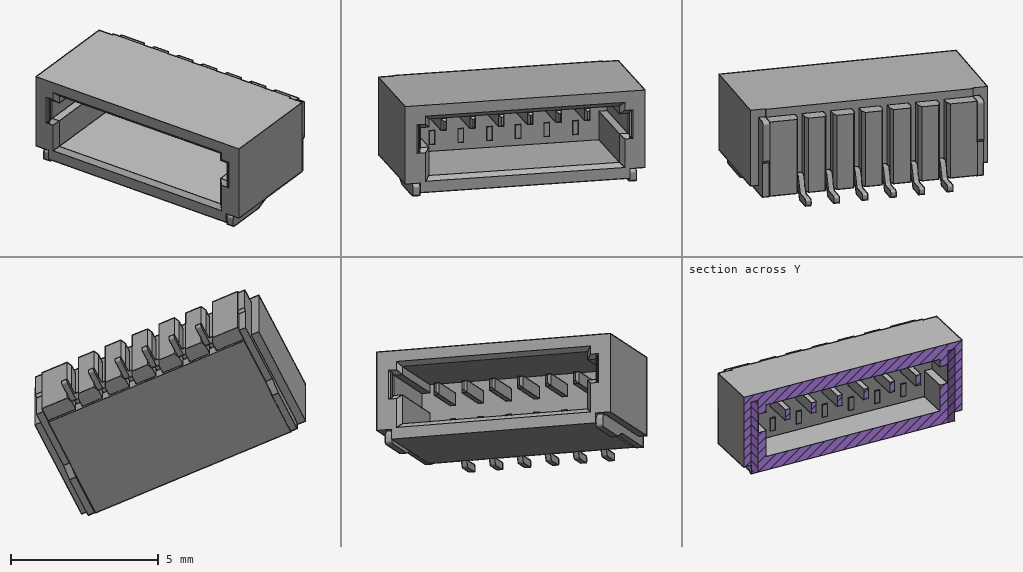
import cadquery as cq
import math


housing_length = 8.36
housing_top = 3.2
core_bottom = 0.13
side_bottom = 0.48
core_depth = 3.8
side_depth = 3.745
comb_rear = 4.305
comb_top = 2.92
comb_bottom = 0.25

mouth_half_width = 3.47
mouth_bottom = 0.53
mouth_top = 2.82
keyway_half_width = 3.76
keyway_bottom = 1.53
keyway_top = 2.53
cavity_depth = 3.01
flare = 0.15

pin_count = 6
pin_row_span = 5.0
pin_pitch = pin_row_span / (pin_count - 1)
pin_width = 0.19
foot_end = 5.0
foot_thickness = 0.25
bend_radius = 0.08
stem_lean = math.radians(25)
stem_thickness = 0.21
stem_rear_bottom = 4.355
arm_top = 0.82
arm_radius = 0.04
blade_bottom = 1.88
blade_top = 2.3
blade_tip = 1.17
tip_bevel = 0.07
tip_bevel_length = 0.15
prong_bottom = 0.93
prong_top = 1.41
prong_length = 0.05

comb_slot_width = 0.25
comb_slot_mouth_width = 0.42
comb_slot_flare_end = 4.12

tab_inner_x = 3.65
tab_thickness = 0.24
tab_front = 0.05
tab_rear = 4.3
tab_toe_chamfer = 0.15
tab_toe_radius = 0.08
tab_bottom = 0.2
tab_rear_relief = 0.09
tab_relief_bottom = 1.42
tab_relief_top = 1.52
tab_rear_radius = 0.125
tab_foot_end = 1.58
tab_foot_slope_end = 2.065

pin_positions = [(i - (pin_count - 1) / 2) * pin_pitch for i in range(pin_count)]


def block(half_width, front, rear, bottom, top):
    """Box centred on X = 0."""
    size = (2 * half_width, rear - front, top - bottom)
    return cq.Workplane("XY").box(*size, centered=(True, False, False)).translate((0, front, bottom))


def side_extrusion(profile, x_start, width):
    """Extrude a (Y, Z) workplane outline along +X."""
    return profile.extrude(width).translate((x_start, 0, 0))


def edge_box(front, rear, bottom, top):
    """Selector for edges along X that lie in the given Y and Z range."""
    margin = 0.01
    lower = (-housing_length, front - margin, bottom - margin)
    upper = (housing_length, rear + margin, top + margin)
    return cq.selectors.ParallelDirSelector(cq.Vector(1, 0, 0)) & cq.selectors.BoxSelector(lower, upper)


def opening(y, inset):
    """Cavity outline with keyways, offset inward, on a plane facing +Y."""
    x_mouth = mouth_half_width - inset
    x_key = keyway_half_width - inset
    bottom = mouth_bottom + inset
    top = mouth_top - inset
    key_bottom = keyway_bottom + inset
    key_top = keyway_top - inset
    right_side = [
        (x_mouth, bottom),
        (x_mouth, key_bottom),
        (x_key, key_bottom),
        (x_key, key_top),
        (x_mouth, key_top),
        (x_mouth, top),
    ]
    left_side = [(-x, z) for x, z in reversed(right_side)]
    return cq.Wire.makePolygon([cq.Vector(x, y, z) for x, z in right_side + left_side], close=True)


def make_cavity():
    """Keyed shaft with a 45-degree flare at the front face."""
    tapered_mouth = cq.Solid.makeLoft([opening(0, 0), opening(flare, flare)], True)
    shaft = cq.Solid.extrudeLinear(opening(0, flare), [], cq.Vector(0, cavity_depth, 0))
    return cq.Workplane(tapered_mouth).union(cq.Workplane(shaft))


def make_comb():
    """Ribs behind the housing, parted by one flared slot per contact."""
    comb = block(tab_inner_x, core_depth, comb_rear, comb_bottom, comb_top)
    half_slot = comb_slot_width / 2
    half_mouth = comb_slot_mouth_width / 2
    slot = (
        cq.Workplane("XY")
        .polyline(
            [
                (-half_slot, core_depth),
                (half_slot, core_depth),
                (half_slot, comb_slot_flare_end),
                (half_mouth, comb_rear),
                (-half_mouth, comb_rear),
                (-half_slot, comb_slot_flare_end),
            ]
        )
        .close()
        .extrude(housing_top)
    )
    for x in pin_positions:
        comb = comb.cut(slot.translate((x, 0, 0)))
    return comb


def bar(front, rear, bottom, top):
    """Straight length of contact, one pin width wide."""
    return block(pin_width / 2, front, rear, bottom, top)


def make_tail():
    """Gull-wing foot, leaning stem and the arm that carries them into the back wall."""
    slope = math.tan(stem_lean)
    rear_corner = stem_rear_bottom - (arm_top - foot_thickness) * slope
    heel = stem_rear_bottom + foot_thickness * slope - stem_thickness / math.cos(stem_lean)
    arm_bottom = arm_top - stem_thickness
    front_corner = heel - arm_bottom * slope
    profile = (
        cq.Workplane("YZ")
        .polyline(
            [
                (foot_end, 0),
                (foot_end, foot_thickness),
                (stem_rear_bottom, foot_thickness),
                (rear_corner, arm_top),
                (cavity_depth, arm_top),
                (cavity_depth, arm_bottom),
                (front_corner, arm_bottom),
                (heel, 0),
            ]
        )
        .close()
    )
    tail = side_extrusion(profile, -pin_width / 2, pin_width)
    tail = tail.edges(edge_box(heel, foot_end, 0, foot_thickness)).fillet(bend_radius)
    return tail.edges(edge_box(rear_corner, rear_corner, arm_top, arm_top)).fillet(arm_radius)


def make_blade():
    """Contact blade reaching forward from the back wall, with a bevelled tip."""
    height = blade_top - blade_bottom
    shoulder = blade_tip + tip_bevel_length
    tip = (
        cq.Workplane("XZ", origin=(0, shoulder, blade_bottom + height / 2))
        .rect(pin_width, height)
        .workplane(offset=tip_bevel_length)
        .rect(pin_width - 2 * tip_bevel, height - 2 * tip_bevel)
        .loft()
    )
    return bar(shoulder, cavity_depth, blade_bottom, blade_top).union(tip)


def make_tab(side):
    """Solder tab plate standing in a side wall; side is +1 or -1."""
    neck = tab_front + tab_toe_chamfer
    relief_y = tab_rear - tab_rear_relief
    profile = (
        cq.Workplane("YZ")
        .polyline(
            [
                (tab_front, 0),
                (tab_front, side_bottom - tab_toe_chamfer),
                (neck, side_bottom),
                (neck, keyway_bottom),
                (tab_front, keyway_bottom),
                (tab_front, comb_top),
                (tab_rear, comb_top),
                (tab_rear, tab_relief_top),
                (relief_y, tab_relief_bottom),
                (relief_y, tab_bottom),
                (tab_foot_slope_end, tab_bottom),
                (tab_foot_end, 0),
            ]
        )
        .close()
    )
    x_start = tab_inner_x if side > 0 else -tab_inner_x - tab_thickness
    tab = side_extrusion(profile, x_start, tab_thickness)
    toe_edges = edge_box(tab_front, tab_front, 0, side_bottom)
    tab = tab.edges(toe_edges).fillet(tab_toe_radius)
    return tab.edges(edge_box(tab_rear, tab_rear, comb_top, comb_top)).fillet(tab_rear_radius)


def make_housing(tabs):
    """Shell, comb and contacts as one solid, with slots that fit the tabs."""
    core = block(tab_inner_x, 0, core_depth, core_bottom, housing_top)
    sides = block(housing_length / 2, 0, side_depth, side_bottom, housing_top)
    housing = core.union(sides).union(make_comb())
    for tab in tabs:
        housing = housing.cut(tab)
    housing = housing.cut(make_cavity())
    prong = bar(cavity_depth - prong_length, cavity_depth, prong_bottom, prong_top)
    for x in pin_positions:
        for contact_part in (make_tail(), make_blade(), prong):
            housing = housing.union(contact_part.translate((x, 0, 0)))
    return housing


solder_tabs = [make_tab(side) for side in (-1, 1)]
housing = make_housing(solder_tabs)

result = cq.Compound.makeCompound([housing.val(), *[tab.val() for tab in solder_tabs]])